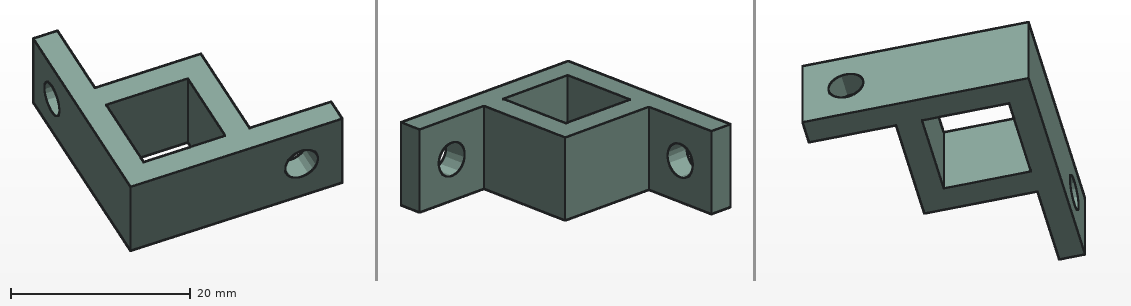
import cadquery as cq

side = 26.0
height = 10.0
wall = 3.0
tab_length = 10.0
hole_diameter = 4.0

tube_side = side - tab_length
bore_side = tube_side - 2 * wall
hole_offset = tab_length / 2
mid_height = height / 2


def corner_box(x_start, y_start, x_size, y_size):
    """Full-height box placed by its lowest X and Y corner."""
    return cq.Workplane("XY").box(x_size, y_size, height, centered=False).translate((x_start, y_start, 0))


front_wall = corner_box(0, 0, side, wall)
side_wall = corner_box(side - wall, 0, wall, side)
tube = corner_box(tab_length, 0, tube_side, tube_side)
bore = corner_box(tab_length + wall, wall, bore_side, bore_side)

front_hole = (
    cq.Workplane("XZ")
    .center(hole_offset, mid_height)
    .circle(hole_diameter / 2)
    .extrude(-wall)
)
side_hole = (
    cq.Workplane("YZ", origin=(side - wall, 0, 0))
    .center(side - hole_offset, mid_height)
    .circle(hole_diameter / 2)
    .extrude(wall)
)

result = front_wall.union(side_wall).union(tube).cut(bore).cut(front_hole).cut(side_hole)